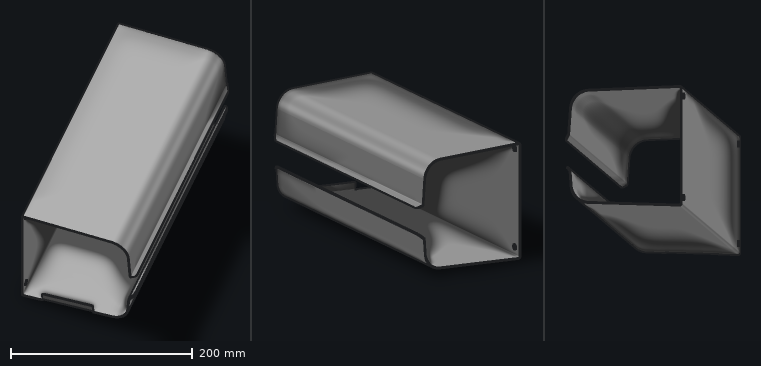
import cadquery as cq
import math

length = 300.0
width = 133.5
height = 135.0
sheet = 1.5
wall_slope = math.radians(4.0)

back_bend_radius = 3.0
front_bend_radius = 21.5
lip_bend_radius = 1.5

upper_corner_x = 125.5
upper_lip_corner_z = 85.5
upper_lip_tip = (width, 80.7)
lower_corner_x = 124.8
lower_lip_corner_z = 45.0
lower_lip_tip = (132.3, 49.8)
lip_corner_radius = 10.0

slope_ratio = math.tan(wall_slope)
lower_corner = (lower_corner_x, lower_corner_x * slope_ratio)
lower_lip_corner = (
    lower_corner_x + (lower_lip_corner_z - lower_corner[1]) * slope_ratio,
    lower_lip_corner_z,
)
upper_lip_corner = (
    upper_corner_x + (height - upper_lip_corner_z) * slope_ratio,
    upper_lip_corner_z,
)

tab_start = 24.5
tab_width = 60.0
tab_height = 10.2
tab_bend_radius = 3.0
tab_corner_radius = 1.5

hole_diameter = 6.3
hole_edge_offset = 10.2
lower_hole_z = 11.5
upper_hole_z_front = 123.3
upper_hole_z_rear = 125.5


def unit(start, end):
    """Unit direction from one profile point to another."""
    span = math.dist(start, end)
    return ((end[0] - start[0]) / span, (end[1] - start[1]) / span)


def inner_corner(before, corner, after):
    """Corner of the inner face, one sheet thickness to the right of the outer path."""
    u = unit(before, corner)
    v = unit(corner, after)
    scale = sheet / (1 + u[0] * v[0] + u[1] * v[1])
    return (corner[0] + scale * (u[1] + v[1]), corner[1] - scale * (u[0] + v[0]))


def draw_side(sketch, corners, radii):
    """Draw straight runs through the corners, rounding each inner corner with an arc."""
    for before, corner, after, radius in zip(corners, corners[1:], corners[2:], radii):
        u = unit(before, corner)
        v = unit(corner, after)
        half_turn = math.acos(u[0] * v[0] + u[1] * v[1]) / 2
        setback = radius * math.tan(half_turn)
        start = (corner[0] - setback * u[0], corner[1] - setback * u[1])
        end = (corner[0] + setback * v[0], corner[1] + setback * v[1])
        rise = radius / math.cos(half_turn) - radius
        inward = unit((0, 0), (v[0] - u[0], v[1] - u[1]))
        middle = (corner[0] + rise * inward[0], corner[1] + rise * inward[1])
        sketch = sketch.lineTo(*start).threePointArc(middle, end)
    return sketch.lineTo(*corners[-1])


def make_shell():
    """Bent sheet, from the lower lip round the back wall to the upper lip."""
    outer = [
        lower_lip_tip,
        lower_lip_corner,
        lower_corner,
        (0, 0),
        (0, height),
        (upper_corner_x, height),
        upper_lip_corner,
        upper_lip_tip,
    ]
    main_radii = [front_bend_radius, back_bend_radius, back_bend_radius, front_bend_radius]
    outer_radii = [lip_bend_radius, *main_radii, lip_bend_radius]
    lip_inner_radius = lip_bend_radius + sheet
    inner_radii = [lip_inner_radius, *[radius - sheet for radius in main_radii], lip_inner_radius]

    first_run = unit(outer[0], outer[1])
    last_run = unit(outer[-2], outer[-1])
    inner = [(outer[0][0] + sheet * first_run[1], outer[0][1] - sheet * first_run[0])]
    inner += [inner_corner(*three) for three in zip(outer, outer[1:], outer[2:])]
    inner += [(outer[-1][0] + sheet * last_run[1], outer[-1][1] - sheet * last_run[0])]

    sketch = cq.Workplane("XZ").moveTo(*outer[0])
    sketch = draw_side(sketch, outer, outer_radii)
    sketch = sketch.lineTo(*inner[-1])
    sketch = draw_side(sketch, inner[::-1], inner_radii[::-1])
    return sketch.close().extrude(-length)


def make_lip_corner_cut(tip, corner):
    """Waste outside the rounded free corners of one lip, at both ends of the shell."""
    inward = unit(tip, corner)
    reach = min(math.dist(tip, corner) - lip_bend_radius, lip_corner_radius)
    radius = lip_corner_radius

    def inset(depth):
        """Distance of the rounded edge from the shell's end at a depth from the lip's tip."""
        return radius - math.sqrt(radius**2 - (radius - depth) ** 2)

    plane = cq.Plane(
        origin=(tip[0], 0, tip[1]),
        xDir=(inward[0], 0, inward[1]),
        normal=(-inward[1], 0, inward[0]),
    )
    end_cut = (
        cq.Workplane(plane)
        .lineTo(0, radius)
        .threePointArc((reach / 2, inset(reach / 2)), (reach, inset(reach)))
        .lineTo(reach, 0)
        .close()
        .extrude(2 * sheet, both=True)
    )
    return end_cut.union(end_cut.mirror("XZ", (0, length / 2, 0)))


def place_on_floor(body):
    """Move a body built on a level floor to the tab's place on the sloping floor."""
    along_floor = tab_start / math.cos(wall_slope)
    return body.translate((along_floor, 0, 0)).rotate((0, 0, 0), (0, 1, 0), -math.degrees(wall_slope))


def make_tab():
    """Tab bent up square to the floor, with its two free corners rounded."""
    root = tab_bend_radius
    outer_middle = root - root * math.sqrt(0.5)
    inner_middle = root - (root - sheet) * math.sqrt(0.5)
    strip = (
        cq.Workplane("YZ")
        .moveTo(root, 0)
        .threePointArc((outer_middle, outer_middle), (0, root))
        .lineTo(0, tab_height)
        .lineTo(sheet, tab_height)
        .lineTo(sheet, root)
        .threePointArc((inner_middle, inner_middle), (root, sheet))
        .close()
        .extrude(tab_width)
    )
    strip = strip.edges("|Y and >Z").fillet(tab_corner_radius)
    return place_on_floor(strip)


def make_tab_clearance():
    """Block that removes the floor edge replaced by the tab's bend."""
    block = cq.Workplane("XY").box(tab_width, tab_bend_radius, 4 * sheet, centered=(False, False, True))
    return place_on_floor(block)


def make_holes():
    """Pins through the back wall, one near each corner."""
    centres = [
        (hole_edge_offset, lower_hole_z),
        (length - hole_edge_offset, lower_hole_z),
        (hole_edge_offset, upper_hole_z_front),
        (length - hole_edge_offset, upper_hole_z_rear),
    ]
    pins = cq.Workplane("YZ").workplane(offset=-sheet).pushPoints(centres)
    return pins.circle(hole_diameter / 2).extrude(3 * sheet)


result = (
    make_shell()
    .cut(make_lip_corner_cut(lower_lip_tip, lower_lip_corner))
    .cut(make_lip_corner_cut(upper_lip_tip, upper_lip_corner))
    .cut(make_tab_clearance())
    .union(make_tab())
    .cut(make_holes())
)